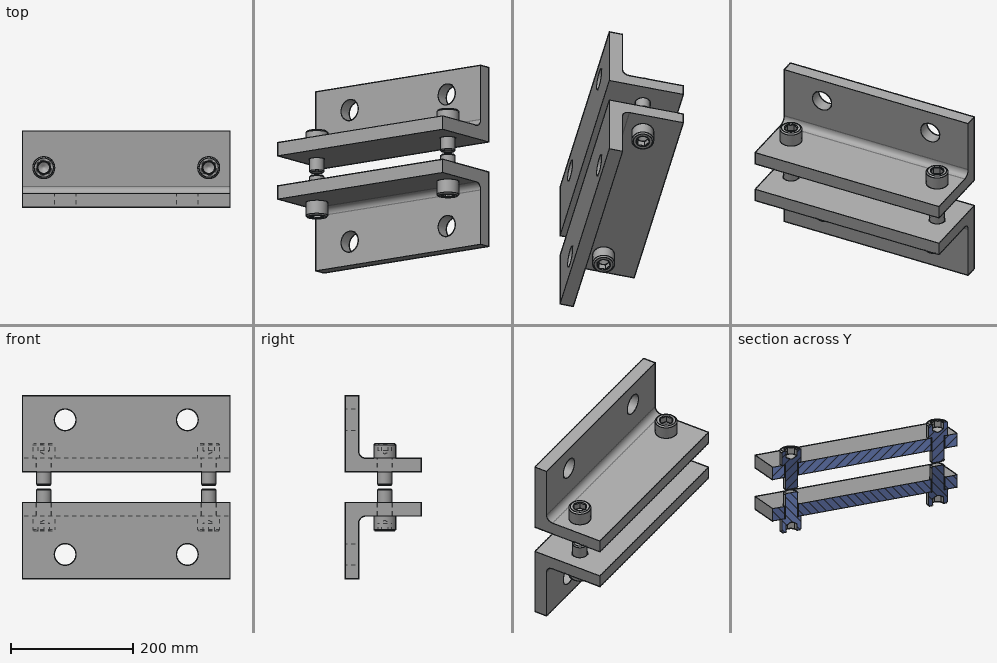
import cadquery as cq
import math

length = 340.0
overall_height = 300.0
thickness = 22.5
inner_radius = 11.5
gap = 50.0
leg = (overall_height - gap) / 2

mounting_hole_diameter = 35.0
mounting_hole_inset = 70.0
mounting_hole_edge = 39.8

clearance_diameter = 26.0
shank_diameter = 24.0
shank_length = 44.5
tip_chamfer = 2.0
head_diameter = 36.0
head_height = 24.0
head_chamfer = 2.5
screw_inset = 35.0
screw_y = 65.0

hexagon_sides = 6
socket_flats = 19.0
socket_depth = 12.0
socket_rim_diameter = 22.0
socket_point_angle = 120.0

mounting_x = length / 2 - mounting_hole_inset
mounting_z = gap / 2 + leg - mounting_hole_edge
screw_x = length / 2 - screw_inset
seat_z = gap / 2 + thickness
both_sides = (-1, 1)


def make_upper_bracket():
    """L-shaped bracket above the gap, with its mounting and clearance holes."""
    bottom = gap / 2
    profile = [
        (0, 0),
        (leg, 0),
        (leg, thickness),
        (thickness, thickness),
        (thickness, leg),
        (0, leg),
    ]
    bracket = cq.Workplane("YZ", origin=(-length / 2, 0, bottom)).polyline(profile).close().extrude(length)
    inner_corner = cq.selectors.NearestToPointSelector((0, thickness, bottom + thickness))
    bracket = bracket.edges(inner_corner).fillet(inner_radius)

    for side in both_sides:
        mounting_hole = cq.Solid.makeCylinder(
            mounting_hole_diameter / 2,
            thickness,
            cq.Vector(side * mounting_x, 0, mounting_z),
            cq.Vector(0, 1, 0),
        )
        clearance_hole = cq.Solid.makeCylinder(
            clearance_diameter / 2,
            thickness,
            cq.Vector(side * screw_x, screw_y, bottom),
        )
        bracket = bracket.cut(mounting_hole).cut(clearance_hole)
    return bracket.solids().val()


def make_socket():
    """Cutter for the hex socket: countersunk mouth, hexagon and conical floor."""
    half_side_angle = 180 / hexagon_sides
    across_corners = socket_flats / math.cos(math.radians(half_side_angle))
    rim_radius = socket_rim_diameter / 2
    floor_radius = socket_flats / 2
    point_depth = floor_radius / math.tan(math.radians(socket_point_angle / 2))

    hexagon = (
        cq.Workplane("XY", origin=(0, 0, head_height))
        .transformed(rotate=(0, 0, half_side_angle))
        .polygon(hexagon_sides, across_corners)
        .extrude(-socket_depth)
    )
    down = cq.Vector(0, 0, -1)
    mouth = cq.Solid.makeCone(rim_radius, 0, rim_radius, cq.Vector(0, 0, head_height), down)
    floor = cq.Vector(0, 0, head_height - socket_depth)
    point = cq.Solid.makeCone(floor_radius, 0, point_depth, floor, down)
    return hexagon.union(cq.Workplane(mouth)).union(cq.Workplane(point))


def make_screw():
    """Screw pointing down, with the underside of its head at Z = 0."""
    head = cq.Workplane("XY").circle(head_diameter / 2).extrude(head_height)
    head = head.faces(">Z").chamfer(head_chamfer)
    shank = cq.Workplane("XY").circle(shank_diameter / 2).extrude(-shank_length)
    shank = shank.faces("<Z").chamfer(tip_chamfer)
    return head.union(shank).cut(make_socket()).solids().val()


upper_bracket = make_upper_bracket()
lower_bracket = upper_bracket.mirror("XY")

screws = []
for side in both_sides:
    upper_screw = make_screw().translate(cq.Vector(side * screw_x, screw_y, seat_z))
    screws.append(upper_screw)
    screws.append(upper_screw.mirror("XY"))

result = cq.Compound.makeCompound([upper_bracket, lower_bracket, *screws])